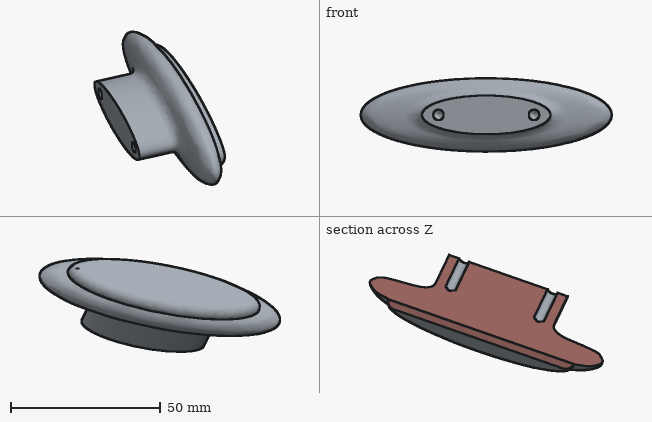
import cadquery as cq


LENGTH = 84.0
HEIGHT = 24.7
STEM_LENGTH = 43.0
STEM_HEIGHT = 13.0
STEM_DEPTH = 12.0
EQUATOR_Y = 20.0
SEAT_Y = 24.0
TOTAL_DEPTH = 27.0
CAP_LENGTH = 67.0
CAP_HEIGHT = 20.0
CAP_EDGE_RADIUS = 2.85

HOLE_DIAMETER = 3.5
HOLE_SPACING = 32.0
HOLE_DEPTH = 12.0
TIP_DEPTH = 1.0

HANDLE_SECTIONS = [
    (STEM_DEPTH, STEM_LENGTH / 2, STEM_HEIGHT / 2),
    (13.2, 21.8, 6.7),
    (14.3, 23.0, 7.4),
    (15.3, 26.0, 8.6),
    (15.9, 32.3, 9.5),
    (16.7, 39.1, 10.5),
    (18.2, 41.3, 11.9),
    (EQUATOR_Y, LENGTH / 2, HEIGHT / 2),
    (21.25, 41.1, 12.2),
    (22.6, 39.15, 11.5),
    (23.4, 36.45, 10.75),
    (SEAT_Y, CAP_LENGTH / 2, CAP_HEIGHT / 2),
    (24.6, 30.1, 8.9),
]


def oval_wire(y, half_length, half_height):
    """Ellipse in the plane at the given Y, long axis along X."""
    return cq.Wire.makeEllipse(
        half_length, half_height, cq.Vector(0, y, 0), cq.Vector(0, 1, 0), cq.Vector(1, 0, 0)
    )


def oval_block(y_start, y_end, half_length, half_height):
    """Straight oval cylinder between two Y positions."""
    outline = oval_wire(y_start, half_length, half_height)
    return cq.Workplane(cq.Solid.extrudeLinear(outline, [], cq.Vector(0, y_end - y_start, 0)))


def screw_hole(x):
    """Blind hole with a conical tip, entering the stem from its front face."""
    radius = HOLE_DIAMETER / 2
    profile = (
        cq.Workplane("XY")
        .polyline([(0, 0), (radius, 0), (radius, HOLE_DEPTH), (0, HOLE_DEPTH + TIP_DEPTH)])
        .close()
    )
    return profile.revolve(360, (0, 0), (0, 1)).translate((x, 0, 0))


def make_handle():
    """Flared oval handle with its stem and two screw holes."""
    stem = oval_block(0, STEM_DEPTH, STEM_LENGTH / 2, STEM_HEIGHT / 2)
    flare = cq.Solid.makeLoft([oval_wire(*section) for section in HANDLE_SECTIONS])
    past_seat = cq.Workplane("XZ", origin=(0, SEAT_Y, 0)).rect(2 * LENGTH, LENGTH)
    past_seat = past_seat.extrude(SEAT_Y - TOTAL_DEPTH)
    handle = stem.union(cq.Workplane(flare).cut(past_seat))
    for side in (-1, 1):
        handle = handle.cut(screw_hole(side * HOLE_SPACING / 2))
    return handle


def make_cap():
    """Oval cap resting on the seat, with its back edge rounded."""
    cap = oval_block(SEAT_Y, TOTAL_DEPTH, CAP_LENGTH / 2, CAP_HEIGHT / 2)
    return cap.faces(">Y").edges().fillet(CAP_EDGE_RADIUS)


handle = make_handle()
cap = make_cap()

result = cq.Compound.makeCompound([handle.val(), cap.val()])